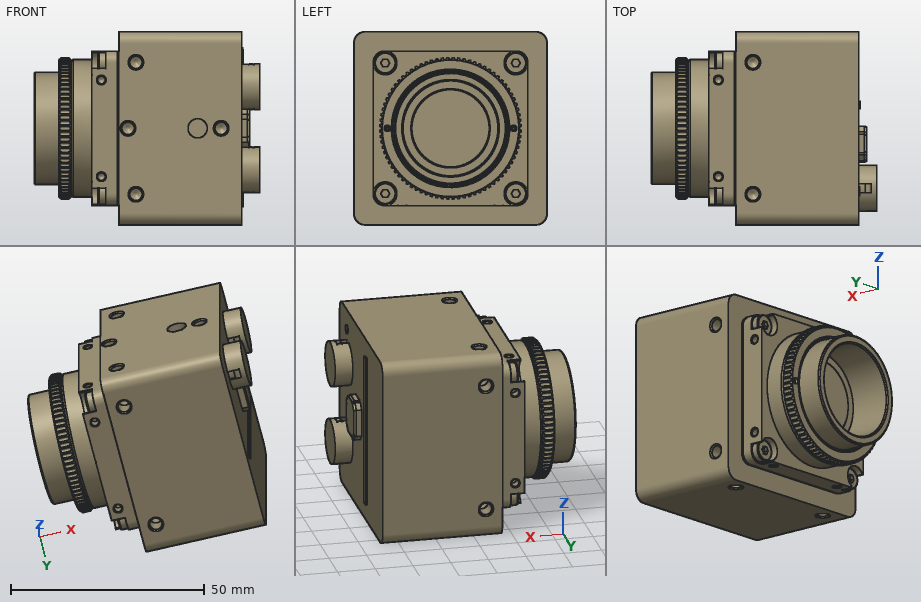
import cadquery as cq
import math

ring_front_x = 6.4
ring_back_x = 9.6
plate_front_x = 14.95
plate_lip_x = 21.5
block_front_x = 21.95
block_back_x = 53.75
connector_back_x = 58.4

block_side = 50.0
block_corner_radius = 3.0
mount_hole_diameter = 3.2
mount_hole_mouth = 4.0
mount_hole_depth = 4.7
corner_mount_x = 26.35
corner_mount_offset = 17.05
center_mount_xs = (24.3, 48.4)
round_pocket_x = 42.3
round_pocket_diameter = 4.95
round_pocket_depth = 2.0

plate_side = 39.95
plate_corner_radius = 3.0
plate_lip_inset = 0.2
set_hole_x = 17.4
set_hole_offset = 12.5
set_hole_diameter = 2.0
set_hole_mouth = 2.45
set_hole_depth = 2.9

screw_offset = 16.9
screw_head_diameter = 5.5
screw_front_x = 16.5
screw_head_bevel_length = 0.35
screw_head_bevel_width = 0.2
screw_pocket_radius = 3.05
screw_pocket_floor_x = 18.5
screw_corner_start = 15.5
socket_across_flats = 2.0
socket_depth = 1.0

tube_diameter = 29.1
tube_bevel = 0.35
thread_diameter = 29.9
bore_diameter = 24.55
bore_bevel = 0.35
bore_depth = 11.7
window_diameter = 20.0
window_base_diameter = 20.5
window_height = (window_base_diameter - window_diameter) / 2
flange_diameter = 35.65
flange_bevel = 0.6

ring_diameter = 36.6
ring_bevel = 0.65
ring_bore_bevel = 0.35
groove_count = 80
groove_radius = 0.495
spanner_hole_offset = 16.35
spanner_hole_diameter = 0.7
spanner_hole_mouth = 1.6
spanner_hole_depth = 1.75

round_connector_diameter = 11.9
round_connector_y = -15.5
round_connector_z = 10.75
latch_width = 2.35
latch_depth = 0.75
latch_end_x = 56.9
latch_roller_diameter = 1.6
socket_back_x = 55.8
socket_y = -3.9
socket_width = 9.0
socket_height = 10.3
socket_corner = 1.5
socket_rim_length = 0.65
socket_rim_width = 0.3
key_width = 4.7
key_height = 0.35
strip_y = 6.0
strip_width = 1.85
strip_length = 40.55
strip_thickness = 0.4
lamp_y = -16.25
lamp_z = 19.7
lamp_diameter = 2.4
lamp_thickness = 0.2

drill_point_angle = 118.0
signs = (-1, 1)
corner_signs = [(side_y, side_z) for side_y in signs for side_z in signs]


def plane_at(x, y=0, z=0):
    """Plane whose normal is +X, local x along +Y and local y along +Z."""
    return cq.Workplane(cq.Plane(origin=(x, y, z), xDir=(0, 1, 0), normal=(1, 0, 0)))


def disc(diameter, start_x, end_x, y=0, z=0):
    """Cylinder along X between two positions."""
    return plane_at(start_x, y, z).circle(diameter / 2).extrude(end_x - start_x)


def countersunk_drill(diameter, mouth, depth, position, direction):
    """Cutter for a blind countersunk hole with a conical bottom, entering along direction."""
    radius = diameter / 2
    mouth_radius = mouth / 2
    mouth_depth = mouth_radius - radius
    point_length = radius / math.tan(math.radians(drill_point_angle / 2))
    profile = [
        (0, 0),
        (mouth_radius, 0),
        (radius, mouth_depth),
        (radius, depth),
        (0, depth + point_length),
    ]
    cutter = cq.Workplane("XY").polyline(profile).close().revolve(360, (0, 0, 0), (0, 1, 0))
    start = cq.Vector(0, 1, 0)
    target = cq.Vector(*direction)
    angle = math.degrees(start.getAngle(target))
    axis = start.cross(target)
    if axis.Length == 0:
        axis = cq.Vector(1, 0, 0)
    return cutter.rotate((0, 0, 0), axis.toTuple(), angle).translate(position)


def four_sides(cutter):
    """The cutter repeated on the four sides around the X axis."""
    return [cutter.rotate((0, 0, 0), (1, 0, 0), 90 * turn) for turn in range(4)]


def make_block():
    block = plane_at(block_front_x).rect(block_side, block_side).extrude(block_back_x - block_front_x)
    block = block.edges("|X").fillet(block_corner_radius)
    side_y = -block_side / 2

    def mount_hole(x, z):
        return countersunk_drill(
            mount_hole_diameter, mount_hole_mouth, mount_hole_depth, (x, side_y, z), (0, 1, 0)
        )

    for side in signs:
        for hole in four_sides(mount_hole(corner_mount_x, side * corner_mount_offset)):
            block = block.cut(hole)
    for x in center_mount_xs:
        block = block.cut(mount_hole(x, 0))
    pocket = cq.Workplane("XZ", origin=(round_pocket_x, side_y + round_pocket_depth, 0))
    return block.cut(pocket.circle(round_pocket_diameter / 2).extrude(round_pocket_depth))


def make_plate():
    plate = plane_at(plate_front_x).rect(plate_side, plate_side).extrude(plate_lip_x - plate_front_x)
    plate = plate.edges("|X").fillet(plate_corner_radius)
    lip_side = plate_side - 2 * plate_lip_inset
    lip = plane_at(plate_lip_x).rect(lip_side, lip_side).extrude(block_front_x - plate_lip_x)
    plate = plate.union(lip.edges("|X").fillet(plate_corner_radius - plate_lip_inset))
    for side in signs:
        hole = countersunk_drill(
            set_hole_diameter,
            set_hole_mouth,
            set_hole_depth,
            (set_hole_x, -plate_side / 2, side * set_hole_offset),
            (0, 1, 0),
        )
        for cutter in four_sides(hole):
            plate = plate.cut(cutter)
    return plate


def make_screw_pocket(side_y, side_z):
    """Round pocket opened to the plate corner."""
    depth = screw_pocket_floor_x - plate_front_x
    pocket = disc(
        2 * screw_pocket_radius, plate_front_x, screw_pocket_floor_x,
        side_y * screw_offset, side_z * screw_offset,
    )
    corner_size = plate_side / 2 - screw_corner_start
    corner_center = screw_corner_start + corner_size / 2
    corner = plane_at(plate_front_x, side_y * corner_center, side_z * corner_center)
    return pocket.union(corner.rect(corner_size, corner_size).extrude(depth))


def make_screw_head(side_y, side_z):
    y = side_y * screw_offset
    z = side_z * screw_offset
    head = disc(screw_head_diameter, screw_front_x, screw_pocket_floor_x, y, z)
    head = head.faces("<X").chamfer(screw_head_bevel_length, screw_head_bevel_width)
    across_corners = socket_across_flats / math.cos(math.pi / 6)
    return head.cut(plane_at(screw_front_x, y, z).polygon(6, across_corners).extrude(socket_depth))


def make_lens_tube():
    """Turned tube, the wider thread that carries the lock ring, and the flange."""
    tube = disc(tube_diameter, 0, plate_front_x).faces("<X").chamfer(tube_bevel)
    thread = disc(thread_diameter, ring_front_x + ring_bore_bevel, ring_back_x)
    flange = disc(flange_diameter, ring_back_x, plate_front_x).faces("<X").chamfer(flange_bevel)
    return tube.union(thread).union(flange)


def make_bore():
    """Cutter for the blind bore, leaving the beveled window raised on its floor."""
    bore_radius = bore_diameter / 2
    window_x = bore_depth - window_height
    profile = [
        (0, 0),
        (0, bore_radius + bore_bevel),
        (bore_bevel, bore_radius),
        (bore_depth, bore_radius),
        (bore_depth, window_base_diameter / 2),
        (window_x, window_diameter / 2),
        (window_x, 0),
    ]
    return cq.Workplane("XY").polyline(profile).close().revolve(360, (0, 0, 0), (1, 0, 0))


def make_round_connector(z):
    """Round connector with a latch roller in a slot above and below."""
    radius = round_connector_diameter / 2
    connector = disc(round_connector_diameter, block_back_x, connector_back_x, round_connector_y, z)
    floor = disc(
        round_connector_diameter - 2 * latch_depth, block_back_x, connector_back_x, round_connector_y, z
    )
    slot_length = latch_end_x - block_back_x
    slot = cq.Workplane("XY").box(slot_length, latch_width, 2 * round_connector_diameter)
    slot = slot.translate((block_back_x + slot_length / 2, round_connector_y, z))
    connector = connector.cut(slot.cut(floor))
    roller_radius = latch_roller_diameter / 2
    roller_start_y = round_connector_y + latch_width / 2
    for side in signs:
        roller_z = z + side * (radius - roller_radius)
        roller = cq.Workplane("XZ", origin=(latch_end_x - roller_radius, roller_start_y, roller_z))
        connector = connector.union(roller.circle(roller_radius).extrude(latch_width))
    return connector


def make_octagonal_socket():
    """Chamfered rectangular socket with key ribs on its -Y and +Z sides."""
    length = socket_back_x - block_back_x
    socket = plane_at(block_back_x, socket_y).rect(socket_width, socket_height).extrude(length)
    socket = socket.edges("|X").chamfer(socket_corner)
    side_key = plane_at(block_back_x, socket_y - key_height).rect(socket_width, key_width).extrude(length)
    top_key = plane_at(block_back_x, socket_y, key_height).rect(key_width, socket_height).extrude(length)
    socket = socket.union(side_key).union(top_key)
    return socket.faces(">X").chamfer(socket_rim_width, socket_rim_length)


def make_rear_details():
    strip = plane_at(block_back_x, strip_y).rect(strip_width, strip_length).extrude(strip_thickness)
    lamp = disc(lamp_diameter, block_back_x, block_back_x + lamp_thickness, lamp_y, lamp_z)
    rear = strip.union(lamp).union(make_octagonal_socket())
    for side in signs:
        rear = rear.union(make_round_connector(side * round_connector_z))
    return rear


def make_camera():
    camera = make_block().union(make_plate()).union(make_lens_tube()).cut(make_bore())
    for side_y, side_z in corner_signs:
        camera = camera.cut(make_screw_pocket(side_y, side_z)).union(make_screw_head(side_y, side_z))
    return camera.union(make_rear_details())


def make_lock_ring():
    ring = disc(ring_diameter, ring_front_x, ring_back_x).edges().chamfer(ring_bevel)
    ring = ring.cut(disc(thread_diameter, ring_front_x, ring_back_x))
    bore_edge = ring.faces("<X").edges(cq.selectors.RadiusNthSelector(0))
    ring = bore_edge.chamfer(ring_bore_bevel)
    grooves = (
        plane_at(ring_front_x)
        .polarArray(ring_diameter / 2, 0, 360, groove_count)
        .circle(groove_radius)
        .extrude(ring_back_x - ring_front_x)
    )
    ring = ring.cut(grooves)
    for side in signs:
        position = (ring_front_x, side * spanner_hole_offset, 0)
        ring = ring.cut(
            countersunk_drill(
                spanner_hole_diameter, spanner_hole_mouth, spanner_hole_depth, position, (1, 0, 0)
            )
        )
    return ring


camera = make_camera()
lock_ring = make_lock_ring()
result = cq.Compound.makeCompound([camera.val(), lock_ring.val()])